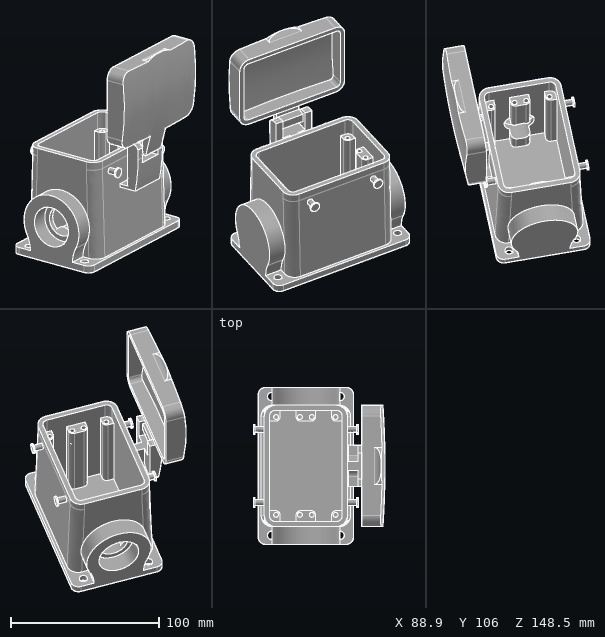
import cadquery as cq
import math

flange_width = 64.5
flange_length = 106.0
flange_thickness = 5.2
flange_corner = 5.2
mount_hole_radius = 2.7
mount_hole_x = 23.2
mount_hole_y = 46.8

body_height = 75.2
body_length = 82.0
rim_width = 56.1
foot_width = 60.3
rim_start_z = 69.5
body_corner = 7.7
wall = 3.5
wall_mid_x = rim_width / 2 - wall / 2
cavity_corner = 3.9
cavity_width = rim_width - 2 * wall
cavity_length = body_length - 2 * wall

pillar_top_z = 63.0
pillar_reach_y = 30.2
pillar_round = 3.1
middle_pillar_width = 13.0
corner_pillar_inner_x = 17.4
screw_radius = 1.6
screw_depth = 11.9
screw_y = 33.0
screw_xs = (-20.0, -4.0, 4.0, 20.0)

entry_z = 26.6
entry_radius = 22.9
counterbore_radius = 14.1
counterbore_depth = 11.9
bore_radius = 10.2

pin_tip_x = 35.4
pin_radius = 2.1
pin_head_radius = 3.4
pin_head_thickness = 1.0
pin_y = 24.7
pin_z = 65.2

bracket_width = 27.9
bracket_front_x = 35.2
bracket_back_x = 43.8
bracket_foot_x = 41.5
bracket_bottom_z = 49.8
bracket_top_z = 84.0
bracket_crown_x = 37.9
bracket_shoulder_z = 80.4
bracket_waist_z = 73.1
shelf_top_z = 52.0
web_width = 6.0
web_fillet = 4.0
slot_width = 17.5

knuckle_front_x = 37.9
knuckle_top_z = 81.2
knuckle_bottom_z = 75.0
arm_round = 2.2

lid_front_x = 37.6
lid_back_x = 53.5
lid_bottom_z = 90.2
lid_top_z = 146.2
lid_length = body_length
lid_corner = 7.5
lid_side_wall = 3.4
lid_lower_wall = 4.0
lid_pocket_corner = 3.1
lid_skin = 3.4
dome_center_z = 121.0
dome_radius_z = 153.0
dome_radius_y = 594.1

lip_top_z = 148.5
lip_half_width = 12.5
lip_start_x = 46.3
lip_tip_x = 50.8


def box(x0, x1, y0, y1, z0, z1):
    """Axis-aligned box between two corners."""
    return cq.Workplane("XY").box(x1 - x0, y1 - y0, z1 - z0, centered=False).translate((x0, y0, z0))


def rounded_block(width, length, z0, z1, corner):
    """Upright block centred on the Z axis with rounded vertical edges."""
    block = box(-width / 2, width / 2, -length / 2, length / 2, z0, z1)
    return block.edges("|Z").fillet(corner)


def make_flange():
    flange = rounded_block(flange_width, flange_length, 0, flange_thickness, flange_corner)
    holes = (
        cq.Workplane("XY")
        .rect(2 * mount_hole_x, 2 * mount_hole_y, forConstruction=True)
        .vertices()
        .circle(mount_hole_radius)
        .extrude(flange_thickness)
    )
    return flange.cut(holes)


def make_body():
    foot = cq.Sketch().rect(foot_width, body_length).vertices().fillet(body_corner)
    shoulder = cq.Sketch().rect(rim_width, body_length).vertices().fillet(body_corner)
    rise = rim_start_z - flange_thickness
    walls = (
        cq.Workplane("XY", origin=(0, 0, flange_thickness))
        .placeSketch(foot, shoulder.moved(cq.Location(cq.Vector(0, 0, rise))))
        .loft()
    )
    rim = rounded_block(rim_width, body_length, rim_start_z, body_height, body_corner)
    return walls.union(rim)


def make_entry_boss(side):
    """Round boss on a neck that flares out of the flange; side is -1 or +1 along Y."""
    bend_z = (entry_z + flange_thickness) / 2
    bend_x = math.sqrt(entry_radius**2 - (entry_z - bend_z) ** 2)
    neck_center_x = 2 * bend_x
    neck_x = neck_center_x - entry_radius
    half_angle = math.asin((entry_z - bend_z) / entry_radius) / 2
    neck_mid_x = neck_center_x - entry_radius * math.cos(half_angle)
    neck_mid_z = flange_thickness + entry_radius * math.sin(half_angle)
    depth = flange_length / 2 - cavity_length / 2
    boss = (
        cq.Workplane("XZ")
        .moveTo(-neck_x, 0)
        .lineTo(-neck_x, flange_thickness)
        .threePointArc((-neck_mid_x, neck_mid_z), (-bend_x, bend_z))
        .threePointArc((0, entry_z + entry_radius), (bend_x, bend_z))
        .threePointArc((neck_mid_x, neck_mid_z), (neck_x, flange_thickness))
        .lineTo(neck_x, 0)
        .close()
        .extrude(depth)
    )
    start_y = -cavity_length / 2 if side < 0 else flange_length / 2
    return boss.translate((0, start_y, 0))


def make_pillars():
    """Two corner pillars and one middle pillar along each end wall."""
    spans = (
        (-rim_width / 2, -corner_pillar_inner_x, ">X"),
        (-middle_pillar_width / 2, middle_pillar_width / 2, "|Z"),
        (corner_pillar_inner_x, rim_width / 2, "<X"),
    )
    end_y = (cavity_length + wall) / 2
    pillars = cq.Workplane("XY")
    for x0, x1, free_side in spans:
        pillar = box(x0, x1, pillar_reach_y, end_y, flange_thickness, pillar_top_z)
        pillar = pillar.faces("<Y").edges("|Z").edges(free_side).fillet(pillar_round)
        pillars = pillars.union(pillar).union(pillar.mirror("XZ"))
    screws = (
        cq.Workplane("XY", origin=(0, 0, pillar_top_z - screw_depth))
        .pushPoints([(x, side * screw_y) for x in screw_xs for side in (-1, 1)])
        .circle(screw_radius)
        .extrude(screw_depth)
    )
    envelope = rounded_block(rim_width, body_length, 0, body_height, body_corner)
    return pillars.cut(screws).intersect(envelope)


def make_entry_bore():
    """Stepped bore through the -Y boss, its wall and the pillar behind it."""
    axis = cq.Workplane("XZ", origin=(0, -flange_length / 2, entry_z))
    counterbore = axis.circle(counterbore_radius).extrude(-counterbore_depth)
    bore = axis.circle(bore_radius).extrude(-flange_length / 2)
    return counterbore.union(bore)


def make_pins():
    """Headed pins standing out of both long walls."""
    base = cq.Workplane("YZ", origin=(wall_mid_x, 0, pin_z)).pushPoints([(-pin_y, 0), (pin_y, 0)])
    shafts = base.circle(pin_radius).extrude(pin_tip_x - wall_mid_x)
    heads = base.circle(pin_head_radius).extrude(pin_head_thickness)
    heads = heads.translate((pin_tip_x - pin_head_thickness - wall_mid_x, 0, 0))
    pins = shafts.union(heads)
    return pins.union(pins.mirror("YZ"))


def make_bracket():
    """Forked upright carried by a shelf and a filleted web on the +X wall."""
    crown_run = bracket_back_x - bracket_crown_x
    crown_drop = bracket_top_z - bracket_shoulder_z
    crown_radius = (crown_run**2 + crown_drop**2) / (2 * crown_drop)
    crown_mid_angle = math.asin(crown_run / crown_radius) / 2
    crown_mid = (
        bracket_crown_x + crown_radius * math.sin(crown_mid_angle),
        bracket_top_z - crown_radius * (1 - math.cos(crown_mid_angle)),
    )
    upright = (
        cq.Workplane("XZ")
        .moveTo(bracket_front_x, bracket_bottom_z)
        .lineTo(bracket_front_x, bracket_top_z)
        .lineTo(bracket_crown_x, bracket_top_z)
        .threePointArc(crown_mid, (bracket_back_x, bracket_shoulder_z))
        .lineTo(bracket_back_x, bracket_waist_z)
        .tangentArcPoint((bracket_foot_x, bracket_bottom_z), relative=False)
        .close()
        .extrude(bracket_width / 2, both=True)
    )
    slot = box(bracket_front_x, bracket_back_x, -slot_width / 2, slot_width / 2, rim_start_z, bracket_top_z)
    half_width = bracket_width / 2
    shelf = box(wall_mid_x, bracket_front_x, -half_width, half_width, bracket_bottom_z, shelf_top_z)
    web = box(wall_mid_x, bracket_front_x, -web_width / 2, web_width / 2, shelf_top_z, rim_start_z)
    support = shelf.union(web)
    for side in (-1, 1):
        mid_x = (wall_mid_x + bracket_front_x) / 2
        corner = cq.NearestToPointSelector((mid_x, side * web_width / 2, shelf_top_z))
        support = support.edges("|X").edges(corner).fillet(web_fillet)
    return upright.cut(slot).union(support)


def make_dome(crown_x):
    """Solid on the -X side of a doubly curved surface whose crown lies at crown_x."""
    reach = 2 * lid_length
    axis_x = crown_x - dome_radius_y
    half_height = lid_length
    drop = dome_radius_z - math.sqrt(dome_radius_z**2 - half_height**2)
    section = (
        cq.Workplane("XZ")
        .moveTo(axis_x, dome_center_z - half_height)
        .lineTo(crown_x - drop, dome_center_z - half_height)
        .threePointArc((crown_x, dome_center_z), (crown_x - drop, dome_center_z + half_height))
        .lineTo(axis_x, dome_center_z + half_height)
        .close()
    )
    dome = section.revolve(360, (axis_x, 0, 0), (axis_x, 1, 0))
    return dome.intersect(box(0, reach, -reach, reach, 0, reach))


def upright_panel(half_length, z0, z1, corner):
    """Panel running along X from the lid's open face, rounded in the YZ plane."""
    panel = box(lid_front_x, lid_back_x, -half_length, half_length, z0, z1)
    return panel.edges("|X").fillet(corner)


def make_finger_lip():
    """Lip that sweeps up from the lid's top edge and is bowed across its width."""
    run = lip_tip_x - lip_start_x
    rise = lip_top_z - lid_top_z
    sweep_radius = (run**2 + rise**2) / (2 * rise)
    mid_angle = math.asin(run / sweep_radius) / 2
    mid = (
        lip_start_x + sweep_radius * math.sin(mid_angle),
        lid_top_z + sweep_radius * (1 - math.cos(mid_angle)),
    )
    root_z = lid_top_z - lid_side_wall / 2
    sweep = (
        cq.Workplane("XZ")
        .moveTo(lip_start_x, root_z)
        .lineTo(lip_start_x, lid_top_z)
        .threePointArc(mid, (lip_tip_x, lip_top_z))
        .lineTo(lid_back_x, lip_top_z)
        .lineTo(lid_back_x, root_z)
        .close()
        .extrude(lip_half_width, both=True)
    )
    bow = (
        cq.Workplane("YZ", origin=(lip_start_x, 0, 0))
        .moveTo(-lip_half_width, root_z)
        .lineTo(-lip_half_width, lid_top_z)
        .threePointArc((0, lip_top_z), (lip_half_width, lid_top_z))
        .lineTo(lip_half_width, root_z)
        .close()
        .extrude(lid_back_x - lip_start_x)
    )
    return sweep.intersect(bow)


def make_lid():
    half_length = lid_length / 2
    shell = upright_panel(half_length, lid_bottom_z, lid_top_z, lid_corner)
    pocket = upright_panel(
        half_length - lid_side_wall,
        lid_bottom_z + lid_lower_wall,
        lid_top_z - lid_side_wall,
        lid_pocket_corner,
    ).intersect(make_dome(lid_back_x - lid_skin))
    half_slot = slot_width / 2
    arm_top_z = lid_bottom_z + lid_lower_wall / 2
    arm = box(bracket_back_x, lid_back_x, -half_slot, half_slot, knuckle_bottom_z, arm_top_z)
    knuckle = box(knuckle_front_x, bracket_back_x, -half_slot, half_slot, knuckle_bottom_z, knuckle_top_z)
    arm = arm.intersect(make_dome(lid_back_x)).edges("|Y and <Z").edges(">X").fillet(arm_round)
    outer = shell.union(make_finger_lip()).intersect(make_dome(lid_back_x))
    return outer.cut(pocket).union(arm).union(knuckle)


cavity = rounded_block(cavity_width, cavity_length, flange_thickness, body_height, cavity_corner)

housing = make_flange().union(make_body())
for boss_side in (-1, 1):
    housing = housing.union(make_entry_boss(boss_side))
housing = housing.union(make_bracket()).union(make_pins())
housing = housing.cut(cavity).union(make_pillars()).cut(make_entry_bore())

result = housing.union(make_lid())